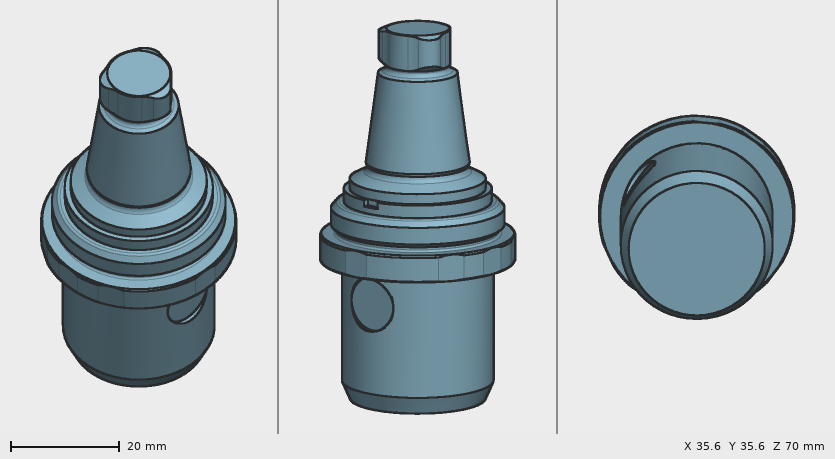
import cadquery as cq
import math

total_height = 70.0

body_radius = 14.0
body_bottom_radius = 12.5
body_bottom_chamfer_top = 3.35
body_shoulder_z = 25.55
body_shoulder_radius = 13.7

spot_diameter = 10.0
spot_z = 20.15
spot_face_x = 13.0

flange_radius = 18.0
flat_distance = 17.815
flange_bottom_z = 26.1
flange_top_z = 31.2
flange_rim_radius = 17.8
flange_bottom_chamfer = 0.2
flange_top_chamfer = 0.4
flat_angles = (0, 60, 90, 120, 180, 240, 270, 300)

groove_radius = 15.05
groove_fillet = 0.4
groove_wall_top = 32.1
groove_lip_radius = 15.4
groove_lip_z = 32.5
collar_radius = 15.995
collar_bottom_z = 32.9
collar_chamfer_bottom = 36.05
collar_round_radius = 15.05
collar_round_z = 37.1
collar_top_radius = 14.5
collar_top_z = 37.3

step_radius = 13.65
step_top_z = 39.7
seat_radius = 12.5
seat_top_z = 41.6
relief_radius = 9.4
relief_foot_radius = 9.95
relief_fillet = 1.55
relief_top_z = 44.1
taper_bottom_radius = 9.6
taper_bottom_z = 44.65
taper_top_radius = 7.35
taper_top_z = 61.6
neck_flare_radius = 6.5
neck_flare_z = 62.0
neck_flare_fillet = 1.0
neck_radius = 5.95

lobe_count = 3
lobe_reach = 7.3
lobe_radius = 2.8
valley_radius = 6.0
blend_radius = 8.4
head_bottom_z = 63.2
head_lower_chamfer_top = 64.3
head_upper_chamfer_bottom = 69.4
head_top_radius = 5.8

notch_width = 3.3
notch_bottom_z = 38.5
notch_wall_x = 12.4


def fillet_height(fillet, flare):
    """Height of a fillet that leaves a cylinder tangentially and spreads outward by flare."""
    return math.sqrt(2 * fillet * flare - flare**2)


def make_turned_body():
    """Revolve the stepped profile from the base up to the neck inside the head."""
    relief_foot_z = relief_top_z - fillet_height(relief_fillet, relief_foot_radius - relief_radius)
    neck_flare_top_z = neck_flare_z + fillet_height(neck_flare_fillet, neck_flare_radius - neck_radius)
    return (
        cq.Workplane("XZ")
        .moveTo(0, 0)
        .lineTo(body_bottom_radius, 0)
        .lineTo(body_radius, body_bottom_chamfer_top)
        .lineTo(body_radius, body_shoulder_z)
        .lineTo(body_shoulder_radius, flange_bottom_z)
        .lineTo(flange_rim_radius, flange_bottom_z)
        .lineTo(flange_radius, flange_bottom_z + flange_bottom_chamfer)
        .lineTo(flange_radius, flange_top_z - flange_top_chamfer)
        .lineTo(flange_rim_radius, flange_top_z)
        .lineTo(groove_radius + groove_fillet, flange_top_z)
        .radiusArc((groove_radius, flange_top_z + groove_fillet), groove_fillet)
        .lineTo(groove_radius, groove_wall_top)
        .lineTo(groove_lip_radius, groove_lip_z)
        .lineTo(collar_radius, collar_bottom_z)
        .lineTo(collar_radius, collar_chamfer_bottom)
        .lineTo(collar_round_radius, collar_round_z)
        .tangentArcPoint((collar_top_radius, collar_top_z), relative=False)
        .lineTo(step_radius, collar_top_z)
        .lineTo(step_radius, step_top_z)
        .lineTo(seat_radius, step_top_z)
        .lineTo(seat_radius, seat_top_z)
        .lineTo(relief_foot_radius, relief_foot_z)
        .radiusArc((relief_radius, relief_top_z), relief_fillet)
        .lineTo(taper_bottom_radius, taper_bottom_z)
        .lineTo(taper_top_radius, taper_top_z)
        .lineTo(neck_flare_radius, neck_flare_z)
        .radiusArc((neck_radius, neck_flare_top_z), neck_flare_fillet)
        .lineTo(neck_radius, head_lower_chamfer_top)
        .lineTo(0, head_lower_chamfer_top)
        .close()
        .revolve(360, (0, 0, 0), (0, 1, 0))
    )


def polar(radius, angle):
    return radius * math.cos(angle), radius * math.sin(angle)


def make_lobed_outline():
    """Lobe arcs and valley arcs joined by concave arcs tangent to both."""
    lobe_offset = lobe_reach - lobe_radius
    blend_offset = valley_radius + blend_radius
    lobe_to_blend = lobe_radius + blend_radius
    cos_blend = (blend_offset**2 + lobe_offset**2 - lobe_to_blend**2) / (2 * blend_offset * lobe_offset)
    blend_angle = math.acos(cos_blend)
    blend_x, blend_y = polar(blend_offset, blend_angle)

    tangent_x = lobe_offset + (blend_x - lobe_offset) * lobe_radius / lobe_to_blend
    tangent_y = blend_y * lobe_radius / lobe_to_blend
    tangent_distance = math.hypot(tangent_x, tangent_y)
    tangent_angle = math.atan2(tangent_y, tangent_x)

    pitch = 2 * math.pi / lobe_count
    outline = cq.Workplane("XY").moveTo(*polar(tangent_distance, -tangent_angle))
    for index in range(lobe_count):
        lobe = index * pitch
        valley = lobe + pitch / 2
        next_lobe = lobe + pitch
        outline = (
            outline.threePointArc(polar(lobe_reach, lobe), polar(tangent_distance, lobe + tangent_angle))
            .radiusArc(polar(valley_radius, lobe + blend_angle), blend_radius)
            .threePointArc(polar(valley_radius, valley), polar(valley_radius, next_lobe - blend_angle))
            .radiusArc(polar(tangent_distance, next_lobe - tangent_angle), blend_radius)
        )
    return outline.close()


def make_head():
    """Extrude the lobed outline and trim its ends with cones."""
    prism = make_lobed_outline().extrude(total_height - head_bottom_z)
    prism = prism.translate((0, 0, head_bottom_z))
    envelope = (
        cq.Workplane("XZ")
        .moveTo(0, head_bottom_z)
        .lineTo(neck_radius, head_bottom_z)
        .lineTo(lobe_reach, head_lower_chamfer_top)
        .lineTo(lobe_reach, head_upper_chamfer_bottom)
        .lineTo(head_top_radius, total_height)
        .lineTo(0, total_height)
        .close()
        .revolve(360, (0, 0, 0), (0, 1, 0))
    )
    return prism.intersect(envelope)


def cut_flange_flats(part):
    height = flange_top_z - flange_bottom_z
    for angle in flat_angles:
        cutter = (
            cq.Workplane("XY", origin=(0, 0, flange_bottom_z))
            .center(flat_distance, 0)
            .rect(2 * (flange_radius - flat_distance), flange_radius)
            .extrude(height)
            .translate((flange_radius - flat_distance, 0, 0))
            .rotate((0, 0, 0), (0, 0, 1), angle)
        )
        part = part.cut(cutter)
    return part


def cut_spot_faces(part):
    for side in (-1, 1):
        cutter = (
            cq.Workplane("YZ", origin=(side * spot_face_x, 0, spot_z))
            .circle(spot_diameter / 2)
            .extrude(side * (flange_radius - spot_face_x))
        )
        part = part.cut(cutter)
    return part


def cut_step_notch(part):
    """Open a notch on the -X side with a flat back wall just inside the seat."""
    cutter = (
        cq.Workplane("XY", origin=(-step_radius, 0, notch_bottom_z))
        .rect(2 * (step_radius - notch_wall_x), notch_width)
        .extrude(step_top_z - notch_bottom_z)
    )
    return part.cut(cutter)


result = make_turned_body().union(make_head())
result = cut_flange_flats(result)
result = cut_spot_faces(result)
result = cut_step_notch(result)